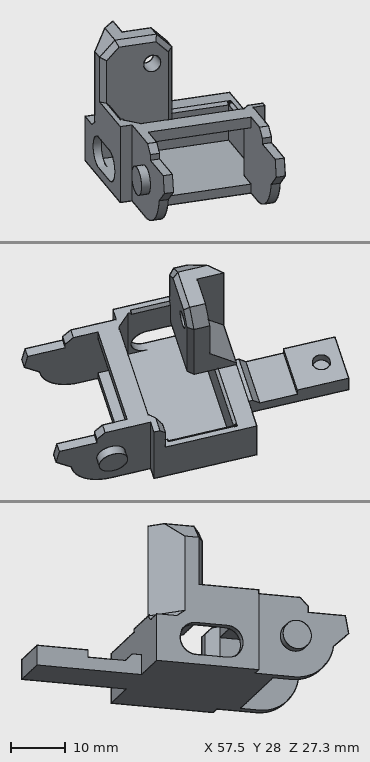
import cadquery as cq
import math


frame_left = 20.0
frame_right = 39.6
frame_width = 28.0
half_width = frame_width / 2
high_wall = 15.3
low_wall = 9.5
side_wall = 1.005
left_wall = 3.45
rim_chamfer = 0.6
bar_right = 43.55
bar_bottom = 13.2
post_length = 2.2
edge_chamfer = 1.05

tower_height = 27.25
tower_right = 29.1
tower_top_chamfer = 3.0
web_left = 25.1
corner_cut = 5.4
corner_cut_base = 10.05
corner_cut_bevel = 1.15
corner_cut_toe = 3.85
tower_hole_y = -4.15
tower_hole_z = 22.0
small_hole = 3.3

slot_x = 30.55
slot_z = 4.9
slot_length = 12.0
slot_height = 6.1

floor_top = slot_z - slot_height / 2

ear_inner = 9.95
ear_outer = 11.75
pivot_x = 47.1
pivot_z = 7.6
pin_diameter = 5.4
pin_end = 13.45
total_length = 57.55
hook_root_z = 6.55
hook_root_x = pivot_x + math.sqrt(pivot_z**2 - (pivot_z - hook_root_z) ** 2)
hook_tip_z = 9.25
hook_top_x = 56.9
hook_top_z = 12.6
step_left = 48.2
step_right = 49.75

tab_width = 9.45
tab_height = 3.8
tab_recess_height = 2.4
tab_pad_length = 9.8
tab_ramp_foot_x = 16.9
tab_ramp_top_x = 18.25
tab_hole_x = 3.9
tab_hole_depth = 1.7


def box(x0, x1, y0, y1, z0, z1):
    """Axis-aligned block between two opposite corners."""
    return cq.Workplane("XY").box(x1 - x0, y1 - y0, z1 - z0, centered=False).translate((x0, y0, z0))


def profile(points, y0, y1):
    """Extrude an XZ outline from y0 to y1."""
    return cq.Workplane("XZ", origin=(0, y0, 0)).polyline(points).close().extrude(y0 - y1)


def make_pocket():
    """Pocket with its two right corners cut off, open toward +X between the ears."""
    left = frame_left + left_wall + rim_chamfer
    inner = half_width - side_wall - rim_chamfer
    corner = inner - ear_inner
    outline = [
        (left, -inner),
        (frame_right - corner, -inner),
        (frame_right, -ear_inner),
        (frame_right, ear_inner),
        (frame_right - corner, inner),
        (left, inner),
    ]
    return cq.Workplane("XY", origin=(0, 0, floor_top)).polyline(outline).close().extrude(tower_height)


def make_rim_chamfers():
    """Bevels along the low left and +Y walls and the high -Y wall."""
    inner = half_width - side_wall - rim_chamfer
    left = frame_left + left_wall + rim_chamfer
    right = frame_right - (inner + rim_chamfer - ear_inner)

    def side_bevel(top, side):
        points = [
            (side * inner, top - rim_chamfer),
            (side * inner, top),
            (side * (inner + rim_chamfer), top),
        ]
        start = left - rim_chamfer
        return cq.Workplane("YZ", origin=(start, 0, 0)).polyline(points).close().extrude(right - start)

    left_bevel = profile(
        [(left, low_wall - rim_chamfer), (left, low_wall), (left - rim_chamfer, low_wall)],
        -inner,
        inner + rim_chamfer,
    )
    return side_bevel(low_wall, 1).union(side_bevel(high_wall, -1)).union(left_bevel)


def make_frame():
    frame = box(frame_left, frame_right, -half_width, half_width, 0, low_wall)
    high_side = box(frame_left, frame_right, -half_width, 0, low_wall, high_wall)
    left_end = box(frame_left, frame_left + left_wall + rim_chamfer, -half_width, 0, low_wall, high_wall)
    high_side = high_side.cut(left_end)
    post = box(frame_right - post_length, frame_right, 0, half_width, low_wall, high_wall)
    post = post.edges("<X and >Z").chamfer(edge_chamfer)
    frame = frame.union(high_side).union(post)
    return frame.cut(make_pocket()).cut(make_rim_chamfers())


def make_tower():
    """Perforated web with a ramp at its foot, beside a full-depth corner column."""
    column_edge = corner_cut - half_width
    tower = box(frame_left, tower_right, -half_width, 0, low_wall, tower_height)
    tower = tower.edges("|X and >Z").chamfer(tower_top_chamfer)
    tower = tower.faces(">X").edges("not <Z").chamfer(edge_chamfer)
    ramp_top = corner_cut_base + web_left - frame_left
    recess = [
        (frame_left, corner_cut_base),
        (web_left, ramp_top),
        (web_left, tower_height),
        (frame_left, tower_height),
    ]
    hole = (
        cq.Workplane("YZ", origin=(frame_left, tower_hole_y, tower_hole_z))
        .circle(small_hole / 2)
        .extrude(tower_right - frame_left)
    )
    return tower.cut(profile(recess, column_edge, 0)).cut(hole)


def make_corner_cut():
    """Diagonal cut off the outer column edge, ending in a bevel below."""
    def triangle(leg):
        return [(0, 0), (leg, 0), (0, leg)]

    bevel = (
        cq.Workplane("XY")
        .polyline(triangle(corner_cut_toe))
        .close()
        .workplane(offset=corner_cut_bevel)
        .polyline(triangle(corner_cut))
        .close()
        .loft(ruled=True)
    )
    upright = (
        cq.Workplane("XY", origin=(0, 0, corner_cut_bevel))
        .polyline(triangle(corner_cut))
        .close()
        .extrude(tower_height)
    )
    return bevel.union(upright).translate((frame_left, -half_width, corner_cut_base - corner_cut_bevel))


def make_slot():
    """Obround window through the -Y wall."""
    return (
        cq.Workplane("XZ", origin=(slot_x, -half_width, slot_z))
        .slot2D(slot_length, slot_height)
        .extrude(-(side_wall + rim_chamfer))
    )


def make_ear(side):
    """Hooked side plate with an outward pivot pin."""
    plate = (
        cq.Workplane("XZ")
        .moveTo(frame_right, 0)
        .lineTo(pivot_x, 0)
        .radiusArc((hook_root_x, hook_root_z), -pivot_z)
        .lineTo(total_length, hook_tip_z)
        .lineTo(hook_top_x, hook_top_z)
        .lineTo(step_right, hook_top_z)
        .lineTo(step_right, high_wall - step_right + step_left)
        .lineTo(step_left, high_wall)
        .lineTo(frame_right, high_wall)
        .close()
        .extrude(-side * (ear_outer - ear_inner))
        .translate((0, side * ear_inner, 0))
    )
    pin = (
        cq.Workplane("XZ", origin=(pivot_x, side * ear_inner, pivot_z))
        .circle(pin_diameter / 2)
        .extrude(-side * (pin_end - ear_inner))
    )
    return plate.union(pin)


def make_tab():
    """Flat tongue with a shallow recess and a blind hole."""
    outline = [
        (0, 0),
        (frame_left, 0),
        (frame_left, tab_height),
        (tab_ramp_top_x, tab_height),
        (tab_ramp_foot_x, tab_recess_height),
        (tab_pad_length, tab_recess_height),
        (tab_pad_length, tab_height),
        (0, tab_height),
    ]
    hole = (
        cq.Workplane("XY", origin=(tab_hole_x, 0, tab_height))
        .circle(small_hole / 2)
        .extrude(-tab_hole_depth)
    )
    return profile(outline, -tab_width / 2, tab_width / 2).cut(hole)


floor_lip = box(frame_right, bar_right, -ear_inner, ear_inner, 0, floor_top)
crossbar = box(frame_right, bar_right, -ear_outer, ear_outer, bar_bottom, high_wall)

result = make_frame().union(make_tower()).cut(make_corner_cut()).cut(make_slot())
result = result.union(crossbar).union(floor_lip).union(make_tab())
for side in (-1, 1):
    result = result.union(make_ear(side))